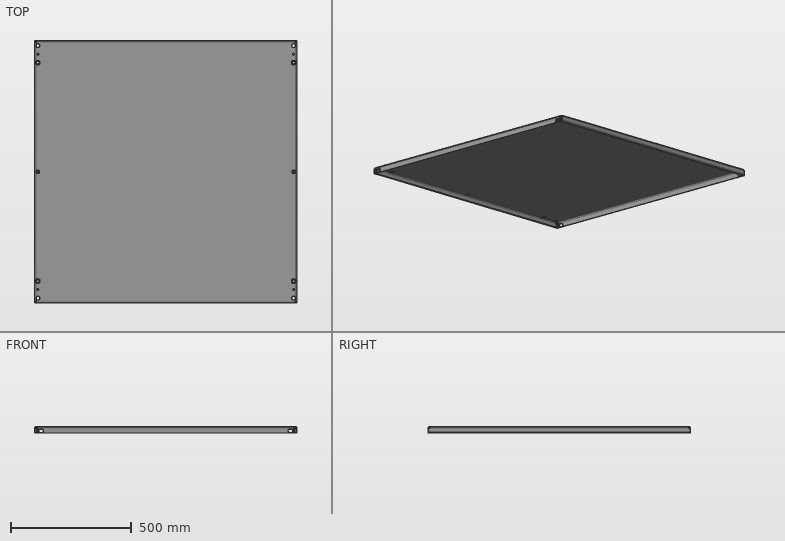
import cadquery as cq

SIDE = 1088.0
HEIGHT = 26.0
SHEET = 1.6
BEND_RADIUS = 5.0
LIP_WIDTH = 9.0

CORNER_GAP = 2.0
BEND_RELIEF = 7.1

HOLE_INSET = 14.0
CORNER_HOLE_INSET = 21.0
CORNER_HOLE_DIAMETER = 15.0
SMALL_HOLE_INSET = 57.0
SMALL_HOLE_DIAMETER = 7.0
MIDDLE_HOLE_DIAMETER = 8.0
MIDDLE_RECESS_DIAMETER = 15.0
MIDDLE_RECESS_DEPTH = SHEET / 2

BUSHING_INSET = 91.0
BUSHING_DIAMETER = 20.0
BUSHING_BORE = 11.0
BUSHING_HEIGHT = 2.0

SLOT_NEAR = 17.0
SLOT_FAR = 37.0
SLOT_HEIGHT = 13.0
SLOT_Z = 9.0
SLIT_NEAR = 10.0
SLIT_WIDTH = 3.0

HALF = SIDE / 2
HOLE_X = HALF - HOLE_INSET
SHEET_UNDERSIDE = HEIGHT - SHEET
FLANGE_TOP = HEIGHT - BEND_RADIUS


def four_corners(x, y):
    """Return a point and its mirror images in both centre planes."""
    return [(sx * x, sy * y) for sx in (-1, 1) for sy in (-1, 1)]


BUSHING_POINTS = four_corners(HOLE_X, HALF - BUSHING_INSET)


def block(size_x, size_y, bottom, top, points=((0, 0),)):
    """Return rectangular blocks between two levels, one centred on each point."""
    plane = cq.Workplane("XY").workplane(offset=bottom)
    return plane.pushPoints(points).rect(size_x, size_y).extrude(top - bottom)


def discs(points, diameter, bottom, top):
    """Return upright cylinders between two levels, one on each point."""
    plane = cq.Workplane("XY").workplane(offset=bottom)
    return plane.pushPoints(points).circle(diameter / 2).extrude(top - bottom)


def rounded_block(inset, radius):
    """Return the panel envelope moved inward, rounded along the bend lines."""
    width = SIDE - 2 * inset
    body = block(width, width, inset, HEIGHT - inset)
    return body.edges(">Z or (<Z and |Y)").fillet(radius)


def folded_sheet():
    """Return the bent sheet: top, four flanges and the two side lips."""
    shell = rounded_block(0, BEND_RADIUS).cut(rounded_block(SHEET, BEND_RADIUS - SHEET))
    open_bottom = block(SIDE - 2 * LIP_WIDTH, SIDE - 2 * SHEET, 0, SHEET)
    return shell.cut(open_bottom)


def corner_cuts():
    """Return the full-height gaps at the corners and the wider relief across the bends."""
    corners = four_corners(HALF, HALF)
    gaps = block(2 * CORNER_GAP, 2 * CORNER_GAP, 0, HEIGHT, corners)
    reliefs = block(2 * BEND_RELIEF, 2 * BEND_RELIEF, FLANGE_TOP, HEIGHT, corners)
    return gaps.union(reliefs)


def sheet_holes():
    """Return the cutters for every hole through the top sheet."""
    corner_points = four_corners(HOLE_X, HALF - CORNER_HOLE_INSET)
    corner = discs(corner_points, CORNER_HOLE_DIAMETER, SHEET_UNDERSIDE, HEIGHT)
    small_points = four_corners(HOLE_X, HALF - SMALL_HOLE_INSET)
    small = discs(small_points, SMALL_HOLE_DIAMETER, SHEET_UNDERSIDE, HEIGHT)
    seats = discs(BUSHING_POINTS, BUSHING_DIAMETER, SHEET_UNDERSIDE, HEIGHT)
    middle_points = [(-HOLE_X, 0), (HOLE_X, 0)]
    middle = discs(middle_points, MIDDLE_HOLE_DIAMETER, SHEET_UNDERSIDE, HEIGHT)
    recesses = discs(middle_points, MIDDLE_RECESS_DIAMETER, HEIGHT - MIDDLE_RECESS_DEPTH, HEIGHT)
    return [corner, small, seats, middle, recesses]


def end_flange_slots():
    """Return the round-ended slots that pass through both end flanges."""
    slot_x = HALF - (SLOT_NEAR + SLOT_FAR) / 2
    centres = [(-slot_x, SLOT_Z), (slot_x, SLOT_Z)]
    outline = cq.Workplane("XZ").pushPoints(centres).slot2D(SLOT_FAR - SLOT_NEAR, SLOT_HEIGHT)
    return outline.extrude(SIDE, both=True)


def end_flange_slits():
    """Return the narrow slits from the bottom edge of the end flanges up to the bend."""
    slit_x = HALF - SLIT_NEAR - SLIT_WIDTH / 2
    return block(SLIT_WIDTH, 2 * SHEET, 0, FLANGE_TOP, four_corners(slit_x, HALF))


def make_panel():
    """Return the folded panel with all its cut-outs."""
    panel = folded_sheet()
    for cutter in [corner_cuts(), *sheet_holes(), end_flange_slots(), end_flange_slits()]:
        panel = panel.cut(cutter)
    return panel


def make_bushing(x, y):
    """Return one ring, flush with the top of the sheet and standing slightly below it."""
    bottom = HEIGHT - BUSHING_HEIGHT
    body = discs([(x, y)], BUSHING_DIAMETER, bottom, HEIGHT)
    return body.cut(discs([(x, y)], BUSHING_BORE, bottom, HEIGHT))


panel = make_panel()
bushings = [make_bushing(x, y).solids().val() for x, y in BUSHING_POINTS]
result = cq.Compound.makeCompound([panel.solids().val(), *bushings])